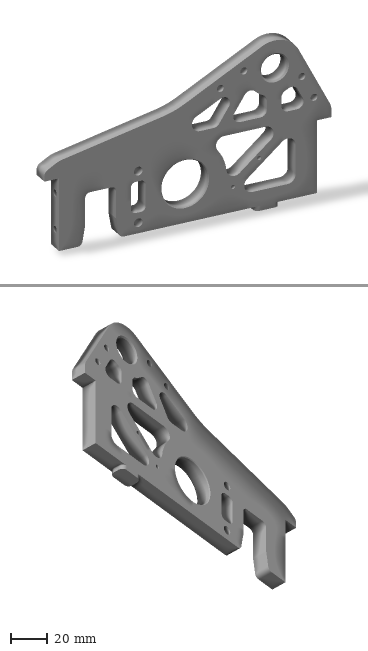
import cadquery as cq
import math

length = 176.5
thickness = 9.5

shoulder_width = 9.0
shoulder_height = 44.5
head_y, head_z = 141.5, 82.5
head_radius = 16.8
head_slope = math.radians(27.3)
elbow_y = 80.0
elbow_radius = 50.0
brow_y, brow_z = 8.8, 55.0
brow_radius = 15.0
nose_corner_z = 50.1
nose_radius = 4.0
rear_radius = 8.8

notch_y_min, notch_y_max = 25.0, 44.1
notch_top = 31.8
notch_corner_radius = 3.0
notch_flare = 2.1
notch_flare_height = 12.0
notch_mouth_radius = 3.0

head_bore_radius = 8.0
head_bore_chamfer = 0.9
main_bore_y, main_bore_z = 86.5, 23.8
main_bore_radius = 14.3
main_bore_chamfer = 0.5

edge_hole_offset = 10.8
edge_hole_distances = (15.7, 32.0)
edge_hole_radius = 2.1

slot_y, slot_z = 57.7, 22.2
slot_width, slot_height = 9.2, 19.0
slot_corner_radius = 3.0
slot_hole_spacing = 31.6
slot_hole_radius = 2.6

pin_holes = ((132.0, 29.5), (116.0, 15.4))
pin_hole_radius = 1.2

upper_pocket_floor = 54.0
pocket_edge_offset = 5.1
head_clearance_radius = 16.8
rear_pocket_y = 145.8
middle_pocket_y = 136.8
upper_strut_slope = math.radians(57.0)
middle_pocket_foot_y = 112.8
front_pocket_foot_y = 106.3
small_pocket_radius = 4.0
lower_strut_slope = math.radians(39.8)
lower_pocket_top = 47.7
lower_pocket_corner_y = 149.7
main_clearance_radius = 25.6
corner_pocket_y, corner_pocket_floor = 154.5, 9.5
corner_pocket_foot_y = 114.2
large_pocket_radius = 5.0

end_hole_heights = (11.3, 33.4)
end_hole_radius = 2.0
end_hole_depth = 10.0
drill_point_angle = math.radians(118.0)

tab_y = 137.2
tab_length = 15.0
tab_height = 3.0
tab_corner_radius = 3.0

down_front = (-math.cos(head_slope), -math.sin(head_slope))
down_rear = (math.sin(head_slope), -math.cos(head_slope))
out_front = (-down_rear[0], -down_rear[1])
out_rear = (-down_front[0], -down_front[1])


def from_head(along, along_distance, out, out_distance):
    """Point reached from the head centre along an edge and outward from it."""
    return (
        head_y + along[0] * along_distance + out[0] * out_distance,
        head_z + along[1] * along_distance + out[1] * out_distance,
    )


def at_y(point, direction, y):
    """Point with the given Y on the line through point."""
    return (y, point[1] + (y - point[0]) * direction[1] / direction[0])


def at_z(point, direction, z):
    """Point with the given Z on the line through point."""
    return (point[0] + (z - point[1]) * direction[0] / direction[1], z)


def prism(points):
    """Polygon in YZ extruded through the plate thickness."""
    return cq.Workplane("YZ").polyline(points).close().extrude(thickness)


def cylinder(y, z, radius):
    """Round bar along X through the plate thickness."""
    return cq.Workplane("YZ").center(y, z).circle(radius).extrude(thickness)


def round_corner(body, point, radius):
    """Fillet the single edge along X nearest to the (Y, Z) point."""
    nearest = cq.selectors.NearestToPointSelector((thickness / 2, *point))
    return body.edges("|X").edges(nearest).fillet(radius)


def make_plate():
    peak = from_head(out_front, head_radius, out_rear, head_radius)
    rear_corner = at_y(peak, down_rear, length)
    elbow = at_y(peak, down_front, elbow_y)
    brow = (brow_y, brow_z)
    nose = (0, nose_corner_z)
    body = prism([
        (shoulder_width, 0),
        (shoulder_width, shoulder_height),
        (0, shoulder_height),
        nose,
        brow,
        elbow,
        peak,
        rear_corner,
        (length, shoulder_height),
        (length - shoulder_width, shoulder_height),
        (length - shoulder_width, 0),
    ])
    body = round_corner(body, peak, head_radius)
    body = round_corner(body, rear_corner, rear_radius)
    body = round_corner(body, elbow, elbow_radius)
    body = round_corner(body, brow, brow_radius)
    return round_corner(body, nose, nose_radius)


def cut_notch(body):
    mouth_front = (notch_y_min - notch_flare, 0)
    mouth_rear = (notch_y_max + notch_flare, 0)
    top_front = (notch_y_min, notch_top)
    top_rear = (notch_y_max, notch_top)
    body = body.cut(prism([
        mouth_front,
        (notch_y_min, notch_flare_height),
        top_front,
        top_rear,
        (notch_y_max, notch_flare_height),
        mouth_rear,
    ]))
    for corner in (top_front, top_rear):
        body = round_corner(body, corner, notch_corner_radius)
    for corner in (mouth_front, mouth_rear):
        body = round_corner(body, corner, notch_mouth_radius)
    return body


def make_bore(y, z, radius, chamfer):
    """Through bore with a 45 degree countersink on both faces."""
    profile = [
        (0, 0),
        (0, radius + chamfer),
        (chamfer, radius),
        (thickness - chamfer, radius),
        (thickness, radius + chamfer),
        (thickness, 0),
    ]
    bore = cq.Workplane("XY").polyline(profile).close().revolve(360, (0, 0, 0), (1, 0, 0))
    return bore.translate((0, y, z))


def make_rear_pocket():
    edge = from_head(down_rear, 0, out_rear, pocket_edge_offset)
    pocket = prism([
        (rear_pocket_y, upper_pocket_floor),
        (rear_pocket_y, head_z),
        at_z(edge, down_rear, head_z),
        at_z(edge, down_rear, upper_pocket_floor),
    ])
    pocket = pocket.cut(cylinder(head_y, head_z, head_clearance_radius))
    return pocket.edges("|X").fillet(small_pocket_radius)


def make_middle_pocket():
    foot = (middle_pocket_foot_y, upper_pocket_floor)
    strut = (math.cos(upper_strut_slope), math.sin(upper_strut_slope))
    pocket = prism([
        foot,
        at_z(foot, strut, head_z),
        (middle_pocket_y, head_z),
        (middle_pocket_y, upper_pocket_floor),
    ])
    pocket = pocket.cut(cylinder(head_y, head_z, head_clearance_radius))
    return pocket.edges("|X").fillet(small_pocket_radius)


def make_front_pocket():
    edge = from_head(down_front, 0, out_front, pocket_edge_offset)
    foot = (front_pocket_foot_y, upper_pocket_floor)
    rise = math.tan(upper_strut_slope)
    fall = math.tan(head_slope)
    top_y = (edge[1] - foot[1] + rise * foot[0] - fall * edge[0]) / (rise - fall)
    top = at_y(edge, down_front, top_y)
    toe = at_z(edge, down_front, upper_pocket_floor)
    pocket = prism([foot, top, toe])
    pocket = round_corner(pocket, toe, large_pocket_radius)
    pocket = round_corner(pocket, top, small_pocket_radius)
    return round_corner(pocket, foot, small_pocket_radius)


def make_strut_pocket():
    corner = (lower_pocket_corner_y, lower_pocket_top)
    strut = (-math.cos(lower_strut_slope), -math.sin(lower_strut_slope))
    pocket = prism([
        corner,
        at_y(corner, strut, main_bore_y + main_clearance_radius / 2),
        (main_bore_y, lower_pocket_top),
    ])
    pocket = pocket.cut(cylinder(main_bore_y, main_bore_z, main_clearance_radius))
    return pocket.edges("|X").fillet(large_pocket_radius)


def make_corner_pocket():
    foot = (corner_pocket_foot_y, corner_pocket_floor)
    strut = (math.cos(lower_strut_slope), math.sin(lower_strut_slope))
    pocket = prism([
        foot,
        at_y(foot, strut, corner_pocket_y),
        (corner_pocket_y, corner_pocket_floor),
    ])
    return pocket.edges("|X").fillet(large_pocket_radius)


def make_slot():
    slot = cq.Workplane("YZ").center(slot_y, slot_z).rect(slot_width, slot_height).extrude(thickness)
    return slot.edges("|X").fillet(slot_corner_radius)


def make_end_hole(z):
    """Blind drilling from the -Y end face with a conical bottom."""
    point_depth = end_hole_radius / math.tan(drill_point_angle / 2)
    profile = [
        (0, 0),
        (end_hole_radius, 0),
        (end_hole_radius, end_hole_depth),
        (0, end_hole_depth + point_depth),
    ]
    drill = cq.Workplane("XY").polyline(profile).close().revolve(360, (0, 0, 0), (0, 1, 0))
    return drill.translate((thickness / 2, shoulder_width, z))


def make_tab():
    tab = cq.Workplane("XY").center(thickness / 2, tab_y).rect(thickness, tab_length).extrude(-tab_height)
    return tab.edges("|Z").fillet(tab_corner_radius)


result = cut_notch(make_plate()).union(make_tab())

result = result.cut(make_bore(head_y, head_z, head_bore_radius, head_bore_chamfer))
result = result.cut(make_bore(main_bore_y, main_bore_z, main_bore_radius, main_bore_chamfer))

for pocket in (
    make_rear_pocket(),
    make_middle_pocket(),
    make_front_pocket(),
    make_strut_pocket(),
    make_corner_pocket(),
    make_slot(),
):
    result = result.cut(pocket)

for distance in edge_hole_distances:
    for along, out in ((down_front, out_front), (down_rear, out_rear)):
        hole_y, hole_z = from_head(along, distance, out, edge_hole_offset)
        result = result.cut(cylinder(hole_y, hole_z, edge_hole_radius))

for side in (-1, 1):
    hole_z = slot_z + side * slot_hole_spacing / 2
    result = result.cut(cylinder(slot_y, hole_z, slot_hole_radius))

for hole_y, hole_z in pin_holes:
    result = result.cut(cylinder(hole_y, hole_z, pin_hole_radius))

for height in end_hole_heights:
    result = result.cut(make_end_hole(height))